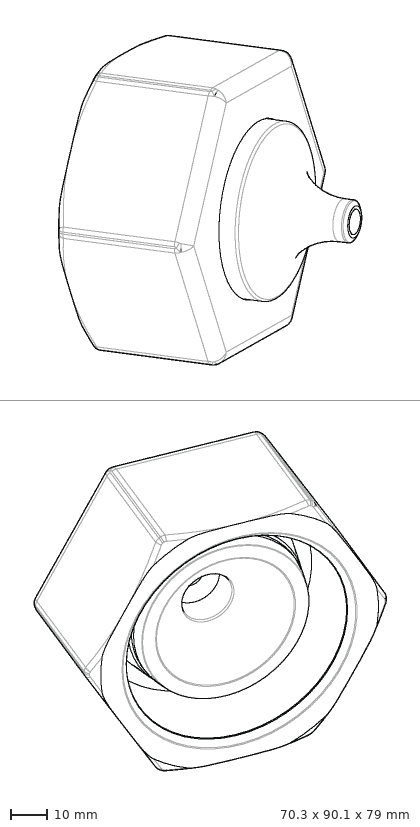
import cadquery as cq
import math

nut_flats = 79.0
nut_corners = 90.1
nut_length = 41.0
front_cone_start = 82.95
front_bevel_angle = 30.0
corner_round = 2.7
bevel_round = 1.8
rear_round = 4.0
bore_diameter = 65.8
bore_depth = 26.5
bore_chamfer = 2.0
tail_clearance_hole = 50.25

seat_rim_round = 0.2
rim_tolerance = 0.01
edge_break = 0.45


seat_diameter = 57.0
seat_half_angle = 12.0
seat_front = 9.7
tail_diameter = 49.9
tail_round = 0.7
spout_diameter = 12.0
spout_start = 66.5
flare_radius = 20.0
overall_length = 70.25
spout_chamfer_length = 0.9
spout_chamfer_depth = 1.5
funnel_mouth = 41.4
funnel_end = 22.4
socket_round = 1.0
socket_diameter = 15.0
socket_depth = 31.5
drill_half_angle = 59.0
through_hole = 7.0

groove_front = 13.7
groove_width = 2.7
ring_section = 2.3


def seat_radius(x):
    """Radius of the conical seat at the axial position x."""
    return seat_diameter / 2 - (bore_depth - x) * math.tan(math.radians(seat_half_angle))


ring_outer_radius = seat_radius(groove_front)
groove_radius = ring_outer_radius - ring_section


def revolve_x(profile):
    """Turn a closed XY profile, with Y as the radius, about the X axis."""
    return profile.close().revolve(360, (0, 0, 0), (1, 0, 0))


def round_rim(body, x, radius, round_radius):
    """Round the circular edge of the given radius that lies at the axial position x."""
    rims = [
        edge for edge in body.edges("%CIRCLE").vals()
        if abs(edge.Center().x - x) < rim_tolerance and abs(edge.radius() - radius) < rim_tolerance
    ]
    return body.newObject(rims).fillet(round_radius)


def runs_along_corner(edge):
    """True for a corner edge of the hexagon, straight or curved over the rear rounding."""
    return edge.Center().x > nut_length / 4 and edge.BoundingBox().xlen > rear_round / 4


def make_nut():
    corner_radius = nut_corners / 2
    front_radius = front_cone_start / 2
    bevel_length = (corner_radius - front_radius) * math.tan(math.radians(front_bevel_angle))
    hexagon = (
        cq.Workplane("YZ")
        .polygon(6, nut_flats / math.cos(math.pi / 6))
        .extrude(nut_length)
        .faces(">X")
        .edges()
        .fillet(rear_round)
    )
    envelope = revolve_x(
        cq.Workplane("XY")
        .polyline([
            (0, 0),
            (0, front_radius),
            (bevel_length, corner_radius),
            (nut_length, corner_radius),
            (nut_length, 0),
        ])
    )
    body = hexagon.intersect(envelope)
    body = body.newObject([edge for edge in body.edges().vals() if runs_along_corner(edge)])
    body = body.fillet(corner_round)
    bevel_edges = cq.selectors.BoxSelector(
        (bevel_length * 0.01, -nut_corners, -nut_corners),
        (bevel_length * 1.5, nut_corners, nut_corners),
    )
    body = body.edges(bevel_edges).fillet(bevel_round)
    bore_radius = bore_diameter / 2
    bore = revolve_x(
        cq.Workplane("XY")
        .polyline([
            (0, 0),
            (0, bore_radius + bore_chamfer),
            (bore_chamfer, bore_radius),
            (bore_depth, bore_radius),
            (bore_depth, tail_clearance_hole / 2),
            (nut_length, tail_clearance_hole / 2),
            (nut_length, 0),
        ])
    )
    body = body.cut(bore)
    body = round_rim(body, 0, bore_radius + bore_chamfer, edge_break)
    return round_rim(body, bore_chamfer, bore_radius, edge_break)


def make_nozzle():
    spout_radius = spout_diameter / 2
    tail_radius = tail_diameter / 2
    flare_centre_radius = spout_radius + flare_radius
    flare_rise = flare_centre_radius - tail_radius
    flare_start = spout_start - math.sqrt(flare_radius**2 - flare_rise**2)
    flare_start_angle = -math.pi + math.asin(flare_rise / flare_radius)
    flare_middle_angle = (flare_start_angle - math.pi / 2) / 2
    outside = revolve_x(
        cq.Workplane("XY")
        .moveTo(seat_front, 0)
        .lineTo(seat_front, seat_radius(seat_front))
        .lineTo(bore_depth, seat_radius(bore_depth))
        .lineTo(bore_depth, tail_radius)
        .lineTo(flare_start, tail_radius)
        .threePointArc(
            (
                spout_start + flare_radius * math.cos(flare_middle_angle),
                flare_centre_radius + flare_radius * math.sin(flare_middle_angle),
            ),
            (spout_start, spout_radius),
        )
        .lineTo(overall_length - spout_chamfer_length, spout_radius)
        .lineTo(overall_length, spout_radius - spout_chamfer_depth)
        .lineTo(overall_length, 0)
    )
    socket_radius = socket_diameter / 2
    hole_radius = through_hole / 2
    drill_length = (socket_radius - hole_radius) / math.tan(math.radians(drill_half_angle))
    passage = revolve_x(
        cq.Workplane("XY")
        .polyline([
            (seat_front, 0),
            (seat_front, funnel_mouth / 2),
            (funnel_end, socket_radius),
            (socket_depth, socket_radius),
            (socket_depth + drill_length, hole_radius),
            (overall_length, hole_radius),
            (overall_length, 0),
        ])
    )
    groove = (
        cq.Workplane("YZ", origin=(groove_front, 0, 0))
        .circle(seat_diameter / 2)
        .circle(groove_radius)
        .extrude(groove_width)
    )
    body = outside.cut(passage).cut(groove)
    body = round_rim(body, flare_start, tail_radius, tail_round)
    body = round_rim(body, seat_front, seat_radius(seat_front), seat_rim_round)
    body = round_rim(body, seat_front, funnel_mouth / 2, edge_break)
    body = round_rim(body, overall_length - spout_chamfer_length, spout_radius, edge_break)
    return round_rim(body, funnel_end, socket_radius, socket_round)


def make_sealing_ring():
    section_radius = ring_section / 2
    section_x = groove_front + groove_width / 2
    section_y = groove_radius + section_radius
    return (
        cq.Workplane("XY", origin=(section_x, 0, 0))
        .center(0, section_y)
        .circle(section_radius)
        .revolve(360, (0, -section_y, 0), (1, -section_y, 0))
    )


nut = make_nut()
nozzle = make_nozzle()
sealing_ring = make_sealing_ring()
result = cq.Compound.makeCompound([nut.val(), nozzle.val(), sealing_ring.val()])